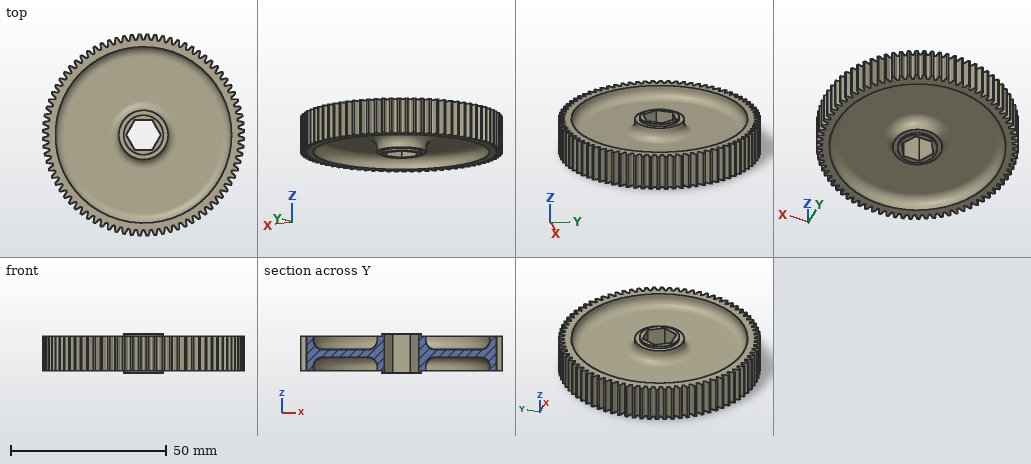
import cadquery as cq
import math

tooth_count = 80
tip_diameter = 65.05
dedendum_factor = 1.3
pressure_angle = math.radians(20)
module = tip_diameter / (tooth_count + 2)
tip_radius = tip_diameter / 2
pitch_radius = module * tooth_count / 2
base_radius = pitch_radius * math.cos(pressure_angle)
root_radius = pitch_radius - dedendum_factor * module
flank_start_radius = 31.05
flank_points = 5

rim_width = 11.2
hub_length = 12.7
rim_inner_radius = 28.4
shoulder_radius = 7.95
boss_radius = 6.4
web_fillet = 3.0
pocket_depth = 4.3
hex_across_flats = 9.6


def polar(radius, angle):
    return (radius * math.cos(angle), radius * math.sin(angle))


def involute(radius):
    """Angle swept by the involute of the base circle when it reaches a radius."""
    roll = math.acos(base_radius / radius)
    return math.tan(roll) - roll


def half_tooth_angle(radius):
    """Half of the tooth's angular thickness at a radius."""
    return math.pi / (2 * tooth_count) + involute(pitch_radius) - involute(radius)


def make_gear_blank():
    """Extrude the toothed outline, with a tooth gap centred on the +X axis."""
    pitch_angle = 2 * math.pi / tooth_count
    radius_step = (tip_radius - flank_start_radius) / (flank_points - 1)
    radii = [flank_start_radius + i * radius_step for i in range(flank_points)]
    start_half_angle = half_tooth_angle(flank_start_radius)

    outline = cq.Workplane("XY", origin=(0, 0, -rim_width / 2))
    outline = outline.moveTo(*polar(flank_start_radius, pitch_angle / 2 - start_half_angle))
    for tooth in range(tooth_count):
        middle = (tooth + 0.5) * pitch_angle
        rising = [polar(r, middle - half_tooth_angle(r)) for r in radii]
        falling = [polar(r, middle + half_tooth_angle(r)) for r in reversed(radii)]
        gap_bottom = polar(root_radius, middle + pitch_angle / 2)
        next_flank_start = polar(flank_start_radius, middle + pitch_angle - start_half_angle)
        outline = (
            outline.spline(rising[1:], includeCurrent=True)
            .threePointArc(polar(tip_radius, middle), falling[0])
            .spline(falling[1:], includeCurrent=True)
            .threePointArc(gap_bottom, next_flank_start)
        )
    return outline.close().extrude(rim_width)


def make_pocket():
    """Ring-shaped pocket in the top face, rounded where its walls meet the web."""
    return (
        cq.Workplane("XY", origin=(0, 0, rim_width / 2 - pocket_depth))
        .circle(rim_inner_radius)
        .circle(shoulder_radius)
        .extrude(pocket_depth)
        .faces("<Z")
        .edges()
        .fillet(web_fillet)
    )


pocket = make_pocket()
boss = cq.Workplane("XY").circle(boss_radius).extrude(hub_length / 2, both=True)
hex_corner_diameter = hex_across_flats / math.cos(math.pi / 6)
bore = cq.Workplane("XY").polygon(6, hex_corner_diameter).extrude(hub_length, both=True)

result = make_gear_blank().cut(pocket).cut(pocket.mirror("XY")).union(boss).cut(bore)